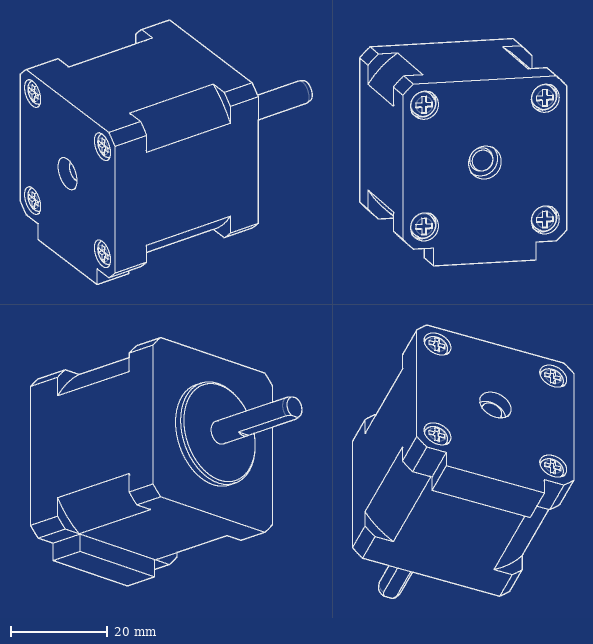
import cadquery as cq
import math


body_width = 35.3
back_cap_length = 8.0
core_length = 21.0
front_cap_length = 7.0
cap_corner_radius = 23.4
core_corner_radius = 20.95
pilot_diameter = 22.0
pilot_height = 2.0
pilot_chamfer = 0.5
connector_width = 22.0
connector_drop = 3.85

shaft_diameter = 5.0
total_length = 60.0
shaft_end_taper_length = 1.0
shaft_end_taper_angle = 15.0
flat_length = 15.0
flat_depth = 0.5
rear_hole_diameter = 7.0
rear_hole_depth = 3.0

screw_spacing = 26.0
screw_pocket_diameter = 6.0
screw_pocket_depth = 2.0
screw_head_diameter = 5.15
screw_head_height = 1.8
screw_head_flat_diameter = 3.6
cross_slot_width = 1.0
cross_slot_depth = 0.9

core_start = back_cap_length
front_cap_start = core_start + core_length
front_face = front_cap_start + front_cap_length
pilot_face = front_face + pilot_height
shaft_start = rear_hole_depth - shaft_end_taper_length


def cylinder(diameter, start, end):
    """Cylinder about the Y axis between two Y positions."""
    plane = cq.Plane(origin=(0, start, 0), xDir=(1, 0, 0), normal=(0, 1, 0))
    return cq.Workplane(plane).circle(diameter / 2).extrude(end - start)


def rounded_block(corner_radius, start, end):
    """Square block whose four corners are trimmed by a cylinder about the Y axis."""
    block = cq.Workplane("XY").box(body_width, end - start, body_width)
    block = block.translate((0, (start + end) / 2, 0))
    return block.intersect(cylinder(2 * corner_radius, start, end))


def make_screw_head():
    """Round-edged screw head with a cross recess, seated on the pocket floor."""
    top = screw_pocket_depth - screw_head_height
    edge_radius = (screw_head_diameter - screw_head_flat_diameter) / 2
    head = cylinder(screw_head_diameter, top, screw_pocket_depth)
    head = head.faces("<Y").edges().fillet(edge_radius)
    slot_center = (0, top + cross_slot_depth / 2, 0)
    slot_size = (screw_head_flat_diameter, cross_slot_depth, cross_slot_width)
    slot = cq.Workplane("XY").box(*slot_size).translate(slot_center)
    upright_slot = slot.rotate((0, 0, 0), (0, 1, 0), 90)
    return head.cut(slot).cut(upright_slot)


def make_connector():
    """Block below the back cap, flush with the back face."""
    bottom = -body_width / 2 - connector_drop
    connector = cq.Workplane("XY").box(
        connector_width, back_cap_length, connector_drop, centered=(True, False, False)
    )
    return connector.translate((0, 0, bottom))


def make_housing():
    """Two end caps, the core, the pilot boss, the connector and the four fixed screw heads."""
    pilot = cylinder(pilot_diameter, front_face, pilot_face)
    pilot = pilot.faces(">Y").edges().chamfer(pilot_chamfer)
    housing = (
        rounded_block(cap_corner_radius, 0, core_start)
        .union(rounded_block(core_corner_radius, core_start, front_cap_start))
        .union(rounded_block(cap_corner_radius, front_cap_start, front_face))
        .union(pilot)
        .union(make_connector())
    )
    housing = housing.cut(cylinder(rear_hole_diameter, 0, rear_hole_depth))
    housing = housing.cut(cylinder(shaft_diameter, rear_hole_depth, pilot_face))

    pocket = cylinder(screw_pocket_diameter, 0, screw_pocket_depth)
    head = make_screw_head()
    for x in (-screw_spacing / 2, screw_spacing / 2):
        for z in (-screw_spacing / 2, screw_spacing / 2):
            housing = housing.cut(pocket.translate((x, 0, z)))
            housing = housing.union(head.translate((x, 0, z)))
    return housing


def make_shaft():
    """Shaft with slightly tapered ends and a flat on the underside of its output end."""
    taper_depth = shaft_end_taper_length * math.tan(math.radians(shaft_end_taper_angle))
    radius = shaft_diameter / 2
    profile = [
        (0, shaft_start),
        (radius - taper_depth, shaft_start),
        (radius, shaft_start + shaft_end_taper_length),
        (radius, total_length - shaft_end_taper_length),
        (radius - taper_depth, total_length),
        (0, total_length),
    ]
    shaft = cq.Workplane("XY").polyline(profile).close().revolve(360, (0, 0, 0), (0, 1, 0))
    flat_cut = cq.Workplane("XY").box(
        shaft_diameter, flat_length, flat_depth, centered=(True, False, False)
    )
    return shaft.cut(flat_cut.translate((0, total_length - flat_length, -radius)))


housing = make_housing()
shaft = make_shaft()

result = cq.Compound.makeCompound([housing.val(), shaft.val()])